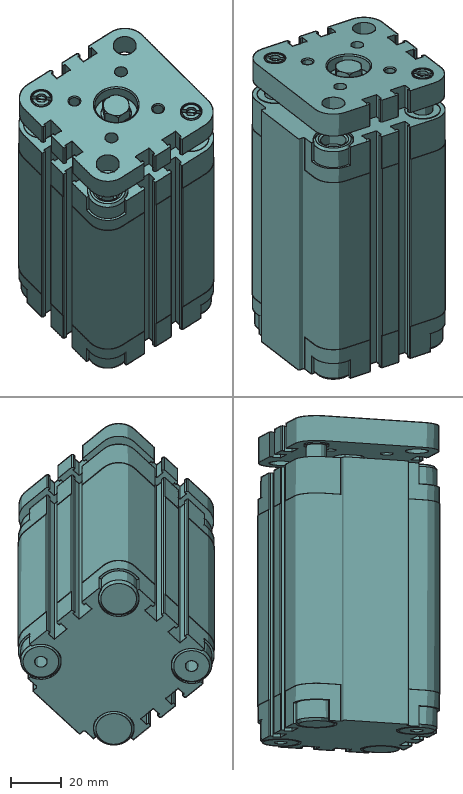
import cadquery as cq
import math

total_height = 122.0
plate_thickness = 10.0
stroke_gap = 6.5
housing_height = total_height - plate_thickness - stroke_gap
plate_bottom = total_height - plate_thickness
pitch = 21.0
guide_corners = [(-pitch, -pitch), (pitch, pitch)]
screw_corners = [(-pitch, pitch), (pitch, -pitch)]

barrel_half = 30.0
cap_half = 29.9
cap_height = 14.6
plate_half = 29.6

slot_offset = 6.7
slot_opening = 5.0
slot_lip_chamfer = 0.5
slot_width = 6.8
slot_floor = 24.9
slot_lip = 28.3

rail_half_width = 13.5
rail_front = 32.5
rail_round = 0.5

boss_radius = 16.0 / 2
boss_end_radius = 14.0 / 2
boss_chamfer_height = 1.1
relief_height = 8.3
relief_wall = 18.8

screw_bore_diameter = 4.9
screw_bore_rim = 6.8
screw_bore_rim_depth = 1.2
screw_well_diameter = 10.1
screw_well_rim = 12.0
screw_well_rim_depth = 0.5
screw_well_depth = 5.1

bearing_diameter = 14.0
bearing_depth = 0.2

access_diameter = 9.0
tap_pitch = 11.7
pin_hole_diameter = 5.0
tap_core_diameter = 4.1
tap_rim = 5.0
tap_rim_depth = 0.5
tap_positions = [(tap_pitch, tap_pitch), (-tap_pitch, -tap_pitch)]
pin_hole_positions = [(-tap_pitch, tap_pitch), (tap_pitch, -tap_pitch)]
bore_diameter = 17.0
bore_rim = 18.0
bore_rim_depth = 0.5
bore_depth = 5.6

rod_diameter = 12.0
rod_flats = 10.0
rod_flats_height = 4.8
rod_collar_height = 0.2
hex_flats = 10.0
hex_recess = 0.4
hex_chamfer = 0.6

guide_diameter = 8.0
guide_flange_diameter = 10.0
guide_flange_height = 0.5
guide_hole_rim = 8.5
guide_hole_rim_depth = 0.2
guide_end_chamfer = 0.5
socket_diameter = 4.1
socket_depth = 1.5
screw_slot_width = 1.5
screw_slot_depth = 2.0


def cylinder(diameter, bottom, height, points=((0, 0),)):
    """Upright cylinders at the given points."""
    return cq.Workplane(origin=(0, 0, bottom)).pushPoints(points).circle(diameter / 2).extrude(height)


def countersinks(hole_diameter, rim_diameter, top, depth, points=((0, 0),)):
    """Cones that widen a hole up to the rim diameter at the given top level."""
    solid = cq.Solid.makeCone(hole_diameter / 2, rim_diameter / 2, depth)
    plane = cq.Workplane(origin=(0, 0, top - depth)).pushPoints(points)
    return plane.eachpoint(lambda place: solid.moved(place), combine=True)


def rounded_block(half, bottom, height):
    """Square block whose corner rounds are centred on the corner axes."""
    block = cq.Workplane(origin=(0, 0, bottom)).rect(2 * half, 2 * half).extrude(height)
    return block.edges("|Z").fillet(half - pitch)


def slot_cutters(half, bottom, height):
    """T-shaped cutters for the slots of three sides of a block, with chamfered lips."""
    half_opening = slot_opening / 2
    half_width = slot_width / 2
    half_profile = [
        (half_opening + slot_lip_chamfer, -half),
        (half_opening, slot_lip_chamfer - half),
        (half_opening, -slot_lip),
        (half_width, -slot_lip),
        (half_width, -slot_floor),
    ]
    profile = half_profile + [(-x, y) for x, y in reversed(half_profile)]
    slot = cq.Workplane(origin=(slot_offset, 0, bottom)).polyline(profile).close().extrude(height)
    pair = slot.union(slot.mirror("YZ"))
    cutters = pair
    for angle in (-90, 90):
        cutters = cutters.union(pair.rotate((0, 0, 0), (0, 0, 1), angle))
    return cutters


def rail():
    """Raised rail along +Y, with rounded outer edges and a rounded foot."""
    r = rail_round
    w = rail_half_width
    return (
        cq.Workplane()
        .moveTo(-w - r, slot_floor)
        .lineTo(-w - r, barrel_half)
        .radiusArc((-w, barrel_half + r), -r)
        .lineTo(-w, rail_front - r)
        .radiusArc((-w + r, rail_front), r)
        .lineTo(w - r, rail_front)
        .radiusArc((w, rail_front - r), r)
        .lineTo(w, barrel_half + r)
        .radiusArc((w + r, barrel_half), -r)
        .lineTo(w + r, slot_floor)
        .close()
        .extrude(housing_height)
    )


def corner_relief(x, y, at_top):
    """Cutter that leaves a chamfered round boss on one corner of an end cap."""
    size = barrel_half + 1.2 - relief_wall
    middle = relief_wall + size / 2
    block = (
        cq.Workplane()
        .center(math.copysign(middle, x), math.copysign(middle, y))
        .rect(size, size)
        .extrude(relief_height)
    )
    ring = cylinder(2 * boss_radius, 0, boss_chamfer_height, [(x, y)])
    chamfer = cq.Solid.makeCone(boss_end_radius, boss_radius, boss_chamfer_height).moved(cq.Location((x, y, 0)))
    shank = cylinder(2 * boss_radius, boss_chamfer_height, relief_height - boss_chamfer_height, [(x, y)])
    cutter = block.union(ring).cut(shank).cut(cq.Workplane(chamfer))
    if at_top:
        cutter = cutter.mirror("XY").translate((0, 0, housing_height))
    return cutter


def screw_cutters():
    """Through bores that open into rimmed wells at the top of the housing."""
    well_floor = housing_height - screw_well_depth
    bores = cylinder(screw_bore_diameter, 0, housing_height, screw_corners)
    bore_rims = countersinks(screw_bore_diameter, screw_bore_rim, well_floor, screw_bore_rim_depth, screw_corners)
    wells = cylinder(screw_well_diameter, well_floor, screw_well_depth, screw_corners)
    well_rims = countersinks(
        screw_well_diameter, screw_well_rim, housing_height, screw_well_rim_depth, screw_corners
    )
    return bores.union(bore_rims).union(wells).union(well_rims)


def make_housing():
    """Barrel, end caps and rail with all their cuts, as one solid."""
    body = rounded_block(cap_half, 0, housing_height)
    body = body.union(rounded_block(barrel_half, cap_height, housing_height - 2 * cap_height))
    body = body.union(rail())
    body = body.cut(slot_cutters(barrel_half, 0, housing_height))
    for x, y in guide_corners + screw_corners:
        body = body.cut(corner_relief(x, y, at_top=False))
    for x, y in screw_corners:
        body = body.cut(corner_relief(x, y, at_top=True))
    body = body.cut(screw_cutters())
    return body.cut(cylinder(bearing_diameter, housing_height - bearing_depth, bearing_depth, guide_corners))


def plate():
    """Front plate with slots, access holes, guide rod holes, tapped and pin holes and the central bore."""
    body = rounded_block(plate_half, plate_bottom, plate_thickness)
    body = body.cut(slot_cutters(plate_half, plate_bottom, plate_thickness))
    through_holes = [
        (access_diameter, screw_corners),
        (guide_diameter, guide_corners),
        (pin_hole_diameter, pin_hole_positions),
        (tap_core_diameter, tap_positions),
    ]
    for diameter, points in through_holes:
        body = body.cut(cylinder(diameter, plate_bottom, plate_thickness, points))
    body = body.cut(cylinder(bore_diameter, total_height - bore_depth, bore_depth))
    rims = [
        (guide_diameter, guide_hole_rim, guide_hole_rim_depth, guide_corners),
        (tap_core_diameter, tap_rim, tap_rim_depth, tap_positions),
        (bore_diameter, bore_rim, bore_rim_depth, [(0, 0)]),
    ]
    for diameter, rim, depth, points in rims:
        body = body.cut(countersinks(diameter, rim, total_height, depth, points))
    return body


def piston_rod():
    """Round rod from the housing into the plate, with flats, a collar and a hexagonal end."""
    bore_floor = total_height - bore_depth
    shaft = cylinder(rod_diameter, housing_height, plate_bottom - housing_height)
    flats = (
        cq.Workplane(origin=(0, 0, plate_bottom - rod_flats_height))
        .rect(2 * rod_diameter, 2 * rod_diameter)
        .rect(2 * rod_diameter, rod_flats)
        .extrude(rod_flats_height)
    )
    collar = cylinder(rod_diameter, plate_bottom, bore_floor + rod_collar_height - plate_bottom)
    hex_height = bore_depth - hex_recess
    corner_diameter = hex_flats / math.cos(math.pi / 6)
    hexagon = cq.Workplane(origin=(0, 0, bore_floor)).polygon(6, corner_diameter).extrude(hex_height)
    hexagon = hexagon.rotate((0, 0, 0), (0, 0, 1), 30)
    envelope = cylinder(corner_diameter, bore_floor, hex_height).faces(">Z").chamfer(hex_chamfer)
    return shaft.cut(flats).union(collar).union(hexagon.intersect(envelope))


def guide_rods():
    """Flanged guide rods from the bearing seats to the plate top, with slotted, socketed ends."""
    bottom = housing_height - bearing_depth
    rods = cylinder(guide_diameter, bottom, total_height - bottom, guide_corners)
    rods = rods.faces(">Z").chamfer(guide_end_chamfer)
    flange_bottom = plate_bottom - guide_flange_height
    rods = rods.union(cylinder(guide_flange_diameter, flange_bottom, guide_flange_height, guide_corners))
    rods = rods.cut(cylinder(socket_diameter, total_height - socket_depth, socket_depth, guide_corners))
    for x, y in guide_corners:
        slot = (
            cq.Workplane(origin=(x, y, total_height - screw_slot_depth))
            .transformed(rotate=(0, 0, 45))
            .rect(2 * guide_diameter, screw_slot_width)
            .extrude(screw_slot_depth)
        )
        rods = rods.cut(slot)
    return rods


def make_moving_part():
    """Plate, piston rod and guide rods as one solid."""
    return plate().union(piston_rod()).union(guide_rods())


housing = make_housing()
moving_part = make_moving_part()
result = cq.Compound.makeCompound([housing.val(), moving_part.val()])